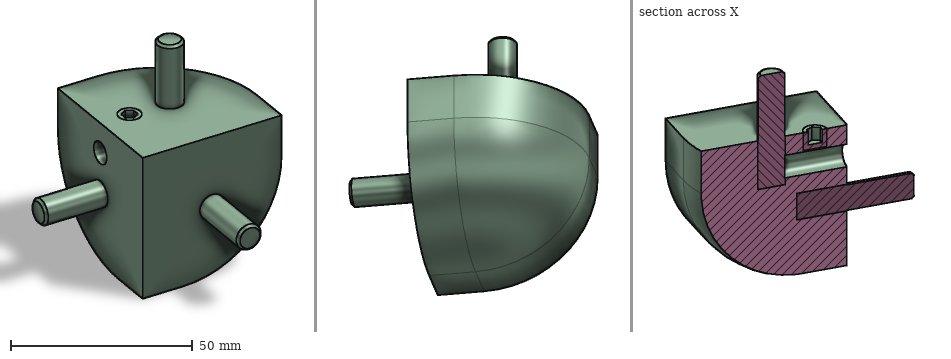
import cadquery as cq

OVERALL = 65.0
BLOCK_SIDE = 45.0
CORNER_RADIUS = 32.0

PIN_DIAMETER = 8.0
PIN_EMBED = 14.95
PIN_CHAMFER = 0.8

SCREW_DIAMETER = 6.8
SCREW_LENGTH = 5.5
SCREW_EDGE_OFFSET = 9.5
SOCKET_ACROSS_FLATS = 4.0
SOCKET_DEPTH = 4.0

HALF_SIDE = BLOCK_SIDE / 2
PIN_PROJECTION = OVERALL - BLOCK_SIDE
SCREW_AXIS = HALF_SIDE - SCREW_EDGE_OFFSET
HEXAGON_SIDES = 6
SOCKET_ACROSS_CORNERS = SOCKET_ACROSS_FLATS * 2 / 3**0.5


def face_plane(normal, center=(0, 0, 0)):
    """Plane on the block face that the unit vector points to, shifted by center along that face."""
    origin = tuple(c + HALF_SIDE * n for c, n in zip(center, normal))
    return cq.Plane(origin=origin, normal=normal)


UP, FRONT, SIDE = (0, 0, 1), (0, -1, 0), (1, 0, 0)
PIN_PLANES = [face_plane(direction) for direction in (UP, FRONT, SIDE)]
SCREW_PLANE = face_plane(UP, center=(0, -SCREW_AXIS, 0))
ACCESS_HOLE_PLANE = face_plane(FRONT, center=(0, 0, SCREW_AXIS))


def bore(plane, diameter, depth):
    """Cylinder that goes into the block from one of its faces."""
    return cq.Workplane(plane).circle(diameter / 2).extrude(-depth)


def make_housing():
    """Cube with one corner rounded like a ball, bored for the pins and the set screw."""
    block = cq.Workplane("XY").box(BLOCK_SIDE, BLOCK_SIDE, BLOCK_SIDE)
    rounded_edges = "(|Z and <X and >Y) or (|Y and <X and <Z) or (|X and >Y and <Z)"
    housing = block.edges(rounded_edges).fillet(CORNER_RADIUS)

    for plane in PIN_PLANES:
        housing = housing.cut(bore(plane, PIN_DIAMETER, PIN_EMBED))

    housing = housing.cut(bore(SCREW_PLANE, SCREW_DIAMETER, SCREW_LENGTH))

    return housing.cut(bore(ACCESS_HOLE_PLANE, SCREW_DIAMETER, HALF_SIDE))


def make_pin(plane):
    """Dowel pin standing out of a block face, chamfered at its outer end."""
    return (
        cq.Workplane(plane)
        .workplane(offset=-PIN_EMBED)
        .circle(PIN_DIAMETER / 2)
        .extrude(PIN_EMBED + PIN_PROJECTION)
        .faces(cq.selectors.DirectionMinMaxSelector(plane.zDir))
        .chamfer(PIN_CHAMFER)
    )


def make_set_screw():
    """Set screw flush with the top face, with a hexagon socket."""
    body = bore(SCREW_PLANE, SCREW_DIAMETER, SCREW_LENGTH)
    socket = (
        cq.Workplane(SCREW_PLANE)
        .polygon(HEXAGON_SIDES, SOCKET_ACROSS_CORNERS)
        .extrude(-SOCKET_DEPTH)
    )
    return body.cut(socket)


housing = make_housing()
pins = [make_pin(plane) for plane in PIN_PLANES]
set_screw = make_set_screw()

result = cq.Compound.makeCompound(
    [housing.val(), *[pin.val() for pin in pins], set_screw.val()]
)